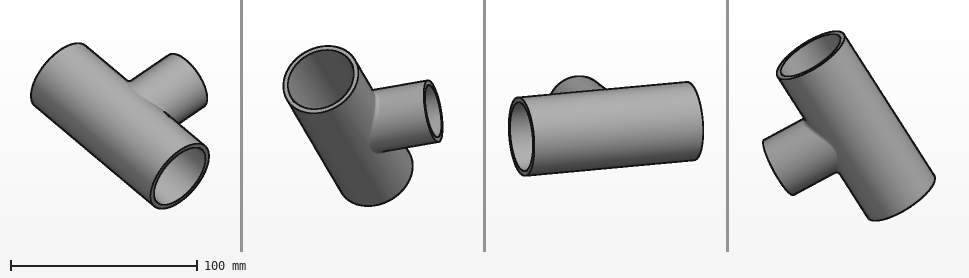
import cadquery as cq

RUN_LENGTH = 96.0
RUN_OUTER_DIAMETER = 42.4
WALL_THICKNESS = 2.6

BRANCH_OUTER_DIAMETER = 33.7
BRANCH_REACH = 48.0

JOINT_FILLET_RADIUS = 2.0

RUN_BORE_DIAMETER = RUN_OUTER_DIAMETER - 2 * WALL_THICKNESS
BRANCH_BORE_DIAMETER = BRANCH_OUTER_DIAMETER - 2 * WALL_THICKNESS


def run_cylinder(diameter):
    """Cylinder along X over the full run length."""
    return cq.Workplane("YZ").circle(diameter / 2).extrude(RUN_LENGTH / 2, both=True)


def branch_cylinder(diameter):
    """Cylinder along +Y from the run axis to the branch end face."""
    return cq.Workplane("XZ").circle(diameter / 2).extrude(-BRANCH_REACH)


def filleted_outer_body():
    """Solid tee with a fillet along the saddle-shaped joint."""
    tee = run_cylinder(RUN_OUTER_DIAMETER).union(branch_cylinder(BRANCH_OUTER_DIAMETER))
    joint_zone = cq.selectors.BoxSelector(
        (-RUN_OUTER_DIAMETER / 2, 0, -RUN_OUTER_DIAMETER / 2),
        (RUN_OUTER_DIAMETER / 2, RUN_OUTER_DIAMETER / 2 + JOINT_FILLET_RADIUS, RUN_OUTER_DIAMETER / 2),
        boundingbox=True,
    )
    return tee.edges(joint_zone).fillet(JOINT_FILLET_RADIUS)


def cut_bores(body):
    """Open the run from end to end and the branch into it."""
    return body.cut(run_cylinder(RUN_BORE_DIAMETER)).cut(branch_cylinder(BRANCH_BORE_DIAMETER))


result = cut_bores(filleted_outer_body())